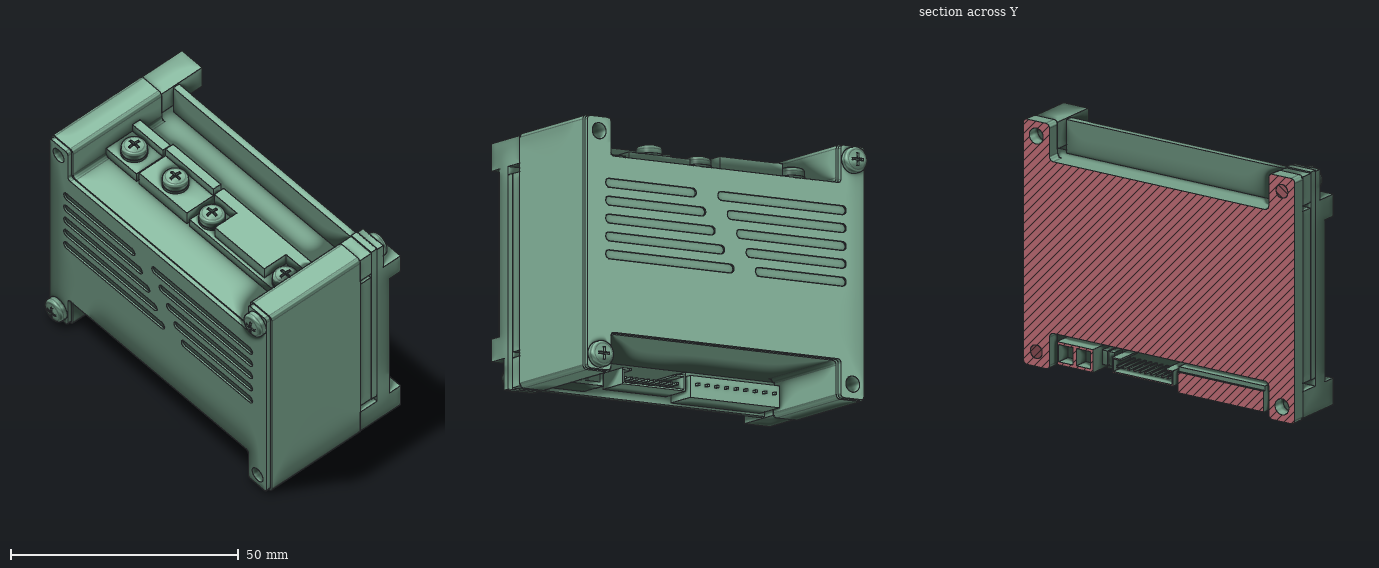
import cadquery as cq
import math

case_width = 73.0
case_height = 57.0
corner_radius = 1.0
leg_inner_x = 29.4
floor_z = 19.95
panel_side_inset = 0.5
panel_end_inset = 0.25
panel_corner_radius = 0.8
core_half_width = 36.1

panel_front = 0.0
panel_thickness = 1.1
case_front = panel_front + panel_thickness
case_back = 27.1
board_front = 30.5
board_back = 32.2
bracket_foot_back = 34.0
bracket_web_back = 35.9
bracket_back = 39.1

vent_rows = 5
vent_height = 2.0
vent_depth = 0.5
vent_round_share = 0.999
vent_pitch = 4.0
vent_top_z = 13.65
vent_outer_x = 31.3
vent_left_end = -7.7
vent_right_end = -2.1
vent_shift = 2.45

screw_x = 33.0
screw_z = 25.0
hole_diameter = 3.6
shank_diameter = 3.0
shank_length = 10.0
head_radius = 2.9
head_rim_height = 1.05
head_shoulder_radius = 2.25
head_shoulder_height = 1.85
head_height = 2.29
crown_mid_rise_share = 0.75
cross_length = 2.8
cross_width = 0.5
cross_depth = 0.9

bracket_outer_x = 36.25
bracket_inner_x = 29.55
bracket_half_height = 28.0
board_half_height = 27.75
board_tab_half_height = 28.3
spacer_inner_z = 21.3
thick_end_inner_z = 21.8
hook_top_z = -15.7
hook_bottom_z = -20.85

terminal_front = 10.75
terminal_back = 20.7
ridge_front = 18.5
side_terminal = {"x_min": -leg_inner_x, "x_max": -19.3, "top": 24.5, "ledge": 22.4}
middle_terminal = {"x_min": -18.4, "x_max": -2.6, "top": 25.6, "ledge": 23.45}
wide_x_min = -1.65
wide_x_max = leg_inner_x
wide_top = 25.05
wide_ledge = 22.1
wide_pad_x_min = 5.75
wide_pad_x_max = 22.1
wide_pad_front = 11.6
wide_ridge_front = 18.0
narrow_screw_y = 14.6
side_screw_x = -24.4
middle_screw_x = -10.75
wide_screw_y = 14.3
wide_screw_x = (1.75, 26.1)
washer_radius = 3.0
washer_thickness = 0.65

connector_length = 8.0
pin_size = 0.5
pin_z = -24.25

socket_x_min = -27.4
socket_x_max = -17.7
socket_z_min = -26.95
socket_z_max = -21.55
socket_opening_x = (-25.1, -20.3)
socket_opening_width = 3.65
socket_opening_height = 3.9
socket_opening_z = -24.2
socket_opening_depth = 5.0

chip_z_min = -25.9
chip_z_max = -22.6
chip_depth = 3.0
chips_x = ((socket_x_max, -16.3), (-15.9, -14.45))

header_x_min = -12.65
header_x_max = 3.75
header_z_min = -25.95
header_z_max = -22.35
header_wall = 0.4
header_lip = 2.3
header_pin_recess = 1.0
header_pins = 10
header_pitch = 1.5
header_first_pin_x = -11.2

plug_x_min = 5.0
plug_x_max = 28.15
plug_z_min = -27.2
plug_z_max = -21.25
plug_step_z = -22.3
plug_step_depth = 2.0
plug_pins = 9
plug_pitch = 2.5
plug_first_pin_x = 6.6
plug_pin_length = 1.0


def block(x_min, x_max, y_min, y_max, z_min, z_max):
    """Box between the given limits."""
    size = (x_max - x_min, y_max - y_min, z_max - z_min)
    return cq.Workplane("XY").box(*size, centered=False).translate((x_min, y_min, z_min))


def rod_along_y(x, z, diameter, y_min, y_max):
    """Round rod along +Y from y_min to y_max."""
    solid = cq.Solid.makeCylinder(diameter / 2, y_max - y_min, cq.Vector(x, y_min, z), cq.Vector(0, 1, 0))
    return cq.Workplane(obj=solid)


def half_turn(body):
    """Copy of the body turned by 180 degrees about the Y axis."""
    return body.rotate((0, 0, 0), (0, 1, 0), 180)


def h_block(half_width, half_height, inner_x, notch_z, radius, y_min, y_max):
    """H-shaped block with rounded corners: a rectangle notched in the middle of its top and bottom."""
    body = block(-half_width, half_width, y_min, y_max, -half_height, half_height)
    notch = block(-inner_x, inner_x, y_min, y_max, notch_z, half_height)
    return body.cut(notch).cut(half_turn(notch)).edges("|Y").fillet(radius)


def open_holes(y_min, y_max):
    """The two diagonal corner holes that hold no screw."""
    hole = rod_along_y(-screw_x, screw_z, hole_diameter, y_min, y_max)
    return hole.add(half_turn(hole)).combine()


def shank_holes(y_min, y_max):
    """The two diagonal corner holes that hold the screw shanks."""
    hole = rod_along_y(screw_x, screw_z, shank_diameter, y_min, y_max)
    return hole.add(half_turn(hole)).combine()


def pan_head():
    """Crowned screw head with a cross recess, seated on Z = 0."""
    shoulder_width = head_radius - head_shoulder_radius
    shoulder_rise = head_shoulder_height - head_rim_height
    crown_rise = head_height - head_shoulder_height
    shoulder_mid = (
        head_shoulder_radius + shoulder_width * math.cos(math.pi / 4),
        head_rim_height + shoulder_rise * math.sin(math.pi / 4),
    )
    crown_mid = (head_shoulder_radius / 2, head_shoulder_height + crown_mid_rise_share * crown_rise)
    head = (
        cq.Workplane("XZ")
        .lineTo(head_radius, 0)
        .lineTo(head_radius, head_rim_height)
        .threePointArc(shoulder_mid, (head_shoulder_radius, head_shoulder_height))
        .threePointArc(crown_mid, (0, head_height))
        .close()
        .revolve(360, (0, 0), (0, 1))
    )
    for length, width in ((cross_length, cross_width), (cross_width, cross_length)):
        recess = cq.Workplane("XY").workplane(offset=head_height - cross_depth).rect(length, width)
        head = head.cut(recess.extrude(head_height))
    return head


def assembly_screw():
    """Pan head screw standing on Z = 0 with its shank below."""
    shank = cq.Workplane("XY").circle(shank_diameter / 2).extrude(-shank_length)
    return pan_head().union(shank)


front_screw = assembly_screw().rotate((0, 0, 0), (1, 0, 0), 90).translate((screw_x, panel_front, screw_z))
rear_screw = (
    assembly_screw().rotate((0, 0, 0), (1, 0, 0), -90).translate((screw_x, bracket_foot_back, screw_z))
)
screws = []
for screw in (front_screw, rear_screw):
    screws += [screw.val(), half_turn(screw).val()]
front_shanks = shank_holes(panel_front, panel_front + shank_length)
rear_shanks = shank_holes(bracket_foot_back - shank_length, bracket_foot_back)


def vent_slot(x_min, x_max, z):
    """Round-ended blind slot in the front panel."""
    slot = block(
        x_min, x_max, panel_front, panel_front + vent_depth, z - vent_height / 2, z + vent_height / 2
    )
    return slot.edges("|Y").fillet(vent_round_share * vent_height / 2)


panel = h_block(
    case_width / 2 - panel_side_inset,
    case_height / 2 - panel_end_inset,
    leg_inner_x + panel_side_inset,
    floor_z - panel_end_inset,
    panel_corner_radius,
    panel_front,
    case_front,
)
for row in range(vent_rows):
    row_z = vent_top_z - row * vent_pitch
    row_shift = row * vent_shift
    panel = panel.cut(vent_slot(-vent_outer_x, vent_left_end + row_shift, row_z))
    panel = panel.cut(vent_slot(vent_right_end + row_shift, vent_outer_x, row_z))


def narrow_terminal(x_min, x_max, top, ledge):
    """Terminal block with a ridge along its back."""
    base = block(x_min, x_max, terminal_front, terminal_back, floor_z, ledge)
    return base.union(block(x_min, x_max, ridge_front, terminal_back, floor_z, top))


def wide_terminal():
    """Two-screw terminal block with a back ridge and a raised middle pad."""
    base = block(wide_x_min, wide_x_max, terminal_front, terminal_back, floor_z, wide_ledge)
    ridge = block(wide_x_min, wide_x_max, wide_ridge_front, terminal_back, floor_z, wide_top)
    pad = block(wide_pad_x_min, wide_pad_x_max, wide_pad_front, terminal_back, floor_z, wide_top)
    return base.union(ridge).union(pad)


def terminal_screw(x, y, ledge):
    """Screw head on a washer, fixed on a terminal ledge."""
    washer = cq.Workplane("XY").circle(washer_radius).extrude(washer_thickness)
    head = pan_head().translate((0, 0, washer_thickness))
    return washer.union(head).translate((x, y, ledge))


def socket():
    """Connector with two square openings."""
    front = board_front - connector_length
    body = block(socket_x_min, socket_x_max, front, board_front, socket_z_min, socket_z_max)
    for x in socket_opening_x:
        opening = block(
            x - socket_opening_width / 2,
            x + socket_opening_width / 2,
            front,
            front + socket_opening_depth,
            socket_opening_z - socket_opening_height / 2,
            socket_opening_z + socket_opening_height / 2,
        )
        body = body.cut(opening)
    return body


def pin_row(first_x, pitch, count, y_min, y_max):
    """Row of square pins along X."""
    row = cq.Workplane("XY")
    for index in range(count):
        x_min = first_x - pin_size / 2 + index * pitch
        z_min = pin_z - pin_size / 2
        row = row.add(block(x_min, x_min + pin_size, y_min, y_max, z_min, z_min + pin_size))
    return row.combine()


def header():
    """Shroud open to the board with a gap in its upper wall, around a row of pins."""
    front = board_front - connector_length
    body = block(header_x_min, header_x_max, front, board_front, header_z_min, header_z_max)
    cavity = block(
        header_x_min + header_wall,
        header_x_max - header_wall,
        front,
        board_front,
        header_z_min + header_wall,
        header_z_max - header_wall,
    )
    opening = block(
        header_x_min + header_lip, header_x_max - header_lip, front, board_front, pin_z, header_z_max
    )
    pins = pin_row(header_first_pin_x, header_pitch, header_pins, front + header_pin_recess, board_front)
    return body.cut(cavity).cut(opening).union(pins)


def plug():
    """Stepped connector with a row of pins on its front."""
    front = board_front - connector_length
    body = block(plug_x_min, plug_x_max, front, board_front, plug_z_min, plug_step_z)
    step = block(plug_x_min, plug_x_max, front + plug_step_depth, board_front, plug_step_z, plug_z_max)
    pins = pin_row(plug_first_pin_x, plug_pitch, plug_pins, front - plug_pin_length, front)
    return body.union(step).union(pins)


board = block(
    -bracket_outer_x, bracket_outer_x, board_front, board_back, -board_half_height, board_half_height
)
screw_tab = block(
    bracket_inner_x, bracket_outer_x, board_front, board_back, floor_z, board_tab_half_height
)
bracket_notch = block(
    -bracket_outer_x, -leg_inner_x, board_front, board_back, floor_z, board_half_height
)
board = board.union(screw_tab).union(half_turn(screw_tab))
board = board.cut(bracket_notch).cut(half_turn(bracket_notch))
for connector in (socket(), header(), plug()):
    board = board.union(connector)
for x_min, x_max in chips_x:
    board = board.union(block(x_min, x_max, board_front - chip_depth, board_front, chip_z_min, chip_z_max))


case = h_block(case_width / 2, case_height / 2, leg_inner_x, floor_z, corner_radius, case_front, case_back)
core = block(-core_half_width, core_half_width, case_back, board_front, -floor_z, floor_z)
driver = case.union(core).union(panel).union(board)

driver = driver.union(narrow_terminal(**side_terminal))
driver = driver.union(narrow_terminal(**middle_terminal))
driver = driver.union(wide_terminal())

driver = driver.union(terminal_screw(side_screw_x, narrow_screw_y, side_terminal["ledge"]))
driver = driver.union(terminal_screw(middle_screw_x, narrow_screw_y, middle_terminal["ledge"]))
for x in wide_screw_x:
    driver = driver.union(terminal_screw(x, wide_screw_y, wide_ledge))

driver = driver.cut(open_holes(panel_front, case_back)).cut(front_shanks).cut(rear_shanks)


right_spacer = block(
    bracket_inner_x, bracket_outer_x, case_back, board_front, spacer_inner_z, bracket_half_height
).cut(rear_shanks)
left_spacer = half_turn(right_spacer)


def left_bracket():
    """Rail bracket behind the left legs: thick top end, thin web, hook and screwed bottom end."""
    x_range = (-bracket_outer_x, -bracket_inner_x)
    end = block(*x_range, case_back, bracket_back, thick_end_inner_z, bracket_half_height)
    web = block(*x_range, board_back, bracket_web_back, hook_bottom_z, thick_end_inner_z)
    hook = block(*x_range, board_back, bracket_back, hook_bottom_z, hook_top_z)
    foot = block(*x_range, board_back, bracket_foot_back, -bracket_half_height, hook_bottom_z)
    return end.union(web).union(hook).union(foot)


left_rail_bracket = left_bracket().cut(open_holes(case_back, bracket_back)).cut(rear_shanks)
right_rail_bracket = half_turn(left_rail_bracket)


result = cq.Compound.makeCompound(
    [
        driver.val(),
        right_spacer.val(),
        left_spacer.val(),
        left_rail_bracket.val(),
        right_rail_bracket.val(),
        *screws,
    ]
)